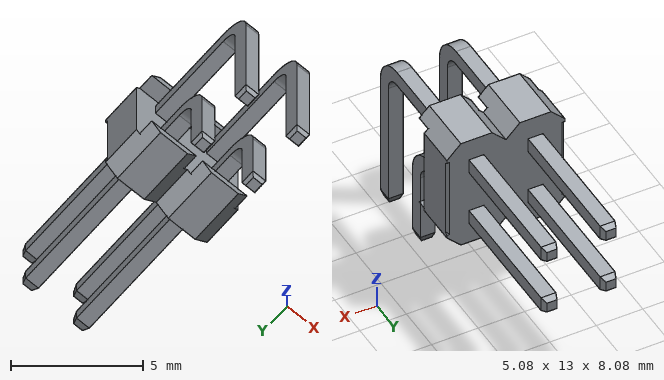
import cadquery as cq


pitch = 2.54
columns = 2
rows = 2

housing_width = columns * pitch
housing_height = rows * pitch
housing_depth = 2.5
corner_chamfer = 0.6
lip_length = 0.7
lip_thickness = 0.44

edge_chamfer = 0.12
edge_chamfer_height = 3.6
edge_chamfer_end_slope = 0.1

pin_size = 0.64
pin_bend_radius = 1.32
pin_reach = 6.0
overall_height = 8.08
overall_length = 13.04
tail_bottom = housing_height / 2 - overall_height
front_tail_face = pin_reach - overall_length
tip_length = 0.28
tip_inset = 0.1


def centered_positions(count):
    """Positions of `count` items at the pitch, centred on zero."""
    return [(index - (count - 1) / 2) * pitch for index in range(count)]


def make_column_block(x):
    """Octagonal prism of one column of the housing."""
    return (
        cq.Workplane("XY")
        .box(pitch, housing_depth, housing_height)
        .edges("|Y")
        .chamfer(corner_chamfer)
        .translate((x, -housing_depth / 2, 0))
    )


def make_front_recess():
    """Space between the two lips, open to the front and sides."""
    recess_height = housing_height - 2 * lip_thickness
    return (
        cq.Workplane("XY")
        .box(housing_width, lip_length, recess_height)
        .translate((0, lip_length / 2 - housing_depth, 0))
    )


def make_edge_cutter(side):
    """Wedge cut off the rear vertical edge on the given side (-1 or +1), with sloping ends."""
    outer_x = side * housing_width / 2
    inner_x = outer_x - side * edge_chamfer
    rear_half = edge_chamfer_height / 2
    inner_half = rear_half - edge_chamfer_end_slope
    wedge = (
        cq.Workplane("XY")
        .polyline([(outer_x, 0), (inner_x, 0), (outer_x, -edge_chamfer)])
        .close()
        .extrude(rear_half, both=True)
    )
    trapezoid = (
        cq.Workplane("YZ")
        .polyline([
            (0, -rear_half),
            (0, rear_half),
            (-edge_chamfer, inner_half),
            (-edge_chamfer, -inner_half),
        ])
        .close()
        .extrude(housing_width / 2, both=True)
    )
    return wedge.intersect(trapezoid)


def make_housing():
    """Joined column blocks with lips at the front and chamfered rear edges."""
    housing = cq.Workplane("XY")
    for x in centered_positions(columns):
        housing = housing.union(make_column_block(x))
    housing = housing.cut(make_front_recess())
    for side in (-1, 1):
        housing = housing.cut(make_edge_cutter(side))
    return housing


def make_tip(base_plane):
    """Tapered pin tip standing on the given plane."""
    end_size = pin_size - 2 * tip_inset
    return (
        cq.Workplane(base_plane)
        .rect(pin_size, pin_size)
        .workplane(offset=tip_length)
        .rect(end_size, end_size)
        .loft()
    )


def make_pin(x, z, tail_face):
    """Square pin at height z, bent down into a tail whose front face is at Y = tail_face."""
    mating_base = pin_reach - tip_length
    tail_base = tail_bottom + tip_length
    top = z + pin_size / 2
    bottom = z - pin_size / 2
    tail_back = tail_face + pin_size
    bend_y = tail_face + pin_bend_radius
    bend_z = top - pin_bend_radius
    inner_radius = pin_bend_radius - pin_size
    shaft = (
        cq.Workplane("YZ", origin=(x, 0, 0))
        .moveTo(mating_base, top)
        .lineTo(bend_y, top)
        .radiusArc((tail_face, bend_z), -pin_bend_radius)
        .lineTo(tail_face, tail_base)
        .lineTo(tail_back, tail_base)
        .lineTo(tail_back, bend_z)
        .radiusArc((bend_y, bottom), inner_radius)
        .lineTo(mating_base, bottom)
        .close()
        .extrude(pin_size / 2, both=True)
    )
    mating_plane = cq.Plane(origin=(x, mating_base, z), xDir=(1, 0, 0), normal=(0, 1, 0))
    tail_plane = cq.Plane(
        origin=(x, tail_face + pin_size / 2, tail_base), xDir=(1, 0, 0), normal=(0, 0, -1)
    )
    return shaft.union(make_tip(mating_plane)).union(make_tip(tail_plane))


result = make_housing()
for column_x in centered_positions(columns):
    for row, row_z in enumerate(centered_positions(rows)):
        row_tail_face = front_tail_face + (rows - 1 - row) * pitch
        result = result.union(make_pin(column_x, row_z, row_tail_face))